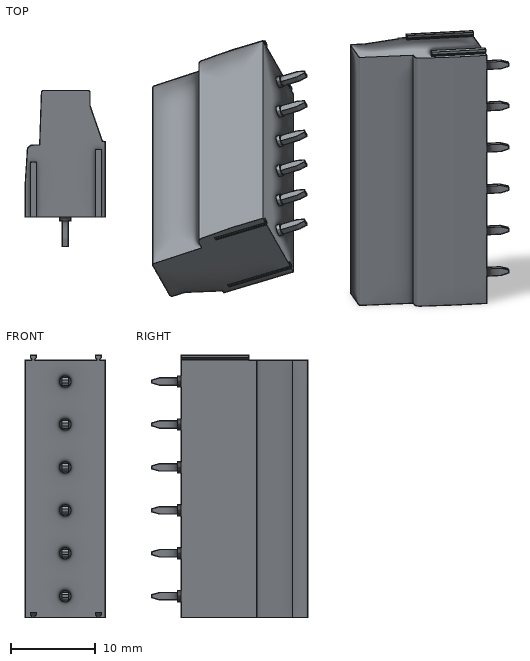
import cadquery as cq

PIN_COUNT = 6
PITCH = 5.08
BODY_WIDTH = 9.5
BODY_DEPTH = 15.0
BODY_HEIGHT = PIN_COUNT * PITCH
HALF_WIDTH = BODY_WIDTH / 2

SIDE_STRAIGHT_DEPTH = 3.9
SHOULDER_INSET = 0.29
SHOULDER_OUTER_DEPTH = 8.5
SHOULDER_INNER_DEPTH = 8.55
SHOULDER_RADIUS = 0.65
NOSE_INSET_BASE = 1.71
NOSE_INSET_TIP = 1.93
NOSE_RIGHT = 7.7
NOSE_STRAIGHT_DEPTH = 13.15
LEDGE_LEFT = 9.15
LEDGE_OUTER_DEPTH = 8.91
LEDGE_INNER_DEPTH = 8.98
NOSE_RADIUS = 0.3

RIB_WIDTH = 0.72
NECK_WIDTH = 0.4
RIB_HEIGHT = 0.57
RIB_NECK_HEIGHT = 0.12
RIB_HEAD_BASE = 0.28
SLOT_HEIGHT = 0.6
SLOT_NECK_HEIGHT = 0.2
SLOT_HEAD_BASE = 0.33
RIBS = ((0.97, 6.5), (8.66, 8.0))

COLLAR_DIAMETER = 1.35
COLLAR_LENGTH = 0.45
PIN_LENGTH = 3.5
PIN_WIDTH = 0.75
PIN_HEIGHT = 0.9
PIN_TIP_HEIGHT = 0.35
PIN_TAPER_LENGTH = 0.95


def make_body():
    """Stepped housing section extruded along Z, centred on the pin row in X."""
    outline = [
        (0, 0),
        (BODY_WIDTH, 0),
        (BODY_WIDTH, LEDGE_OUTER_DEPTH),
        (LEDGE_LEFT, LEDGE_INNER_DEPTH),
        (NOSE_RIGHT, NOSE_STRAIGHT_DEPTH),
        (NOSE_RIGHT, BODY_DEPTH),
        (NOSE_INSET_TIP, BODY_DEPTH),
        (NOSE_INSET_BASE, SHOULDER_INNER_DEPTH),
        (SHOULDER_INSET, SHOULDER_OUTER_DEPTH),
        (0, SIDE_STRAIGHT_DEPTH),
    ]
    body = cq.Workplane("XY").polyline(outline).close().extrude(BODY_HEIGHT)
    shoulder_middle = (SHOULDER_INSET, SHOULDER_OUTER_DEPTH, BODY_HEIGHT / 2)
    shoulder_edge = cq.selectors.NearestToPointSelector(shoulder_middle)
    body = body.edges(shoulder_edge).fillet(SHOULDER_RADIUS)
    body = body.faces(">Y").edges("|Z").fillet(NOSE_RADIUS)
    return body.translate((-HALF_WIDTH, 0, 0))


def make_key(centre_from_side, length, base_z, neck_height, head_base, height):
    """Headed rail rising from base_z and running from the pin face along +Y."""
    half_neck = NECK_WIDTH / 2
    half_head = RIB_WIDTH / 2
    profile = [
        (-half_neck, 0),
        (half_neck, 0),
        (half_neck, neck_height),
        (half_head, head_base),
        (half_head, height),
        (-half_head, height),
        (-half_head, head_base),
        (-half_neck, neck_height),
    ]
    rail = cq.Workplane("XZ").polyline(profile).close().extrude(-length)
    return rail.translate((centre_from_side - HALF_WIDTH, 0, base_z))


def make_pin(z):
    """Round collar with a rectangular pin tapering in Z toward its -Y tip."""
    collar = cq.Workplane("XZ").circle(COLLAR_DIAMETER / 2).extrude(COLLAR_LENGTH)
    taper_start = PIN_LENGTH - PIN_TAPER_LENGTH
    half_height = PIN_HEIGHT / 2
    half_tip = PIN_TIP_HEIGHT / 2
    profile = [
        (0, -half_height),
        (-taper_start, -half_height),
        (-PIN_LENGTH, -half_tip),
        (-PIN_LENGTH, half_tip),
        (-taper_start, half_height),
        (0, half_height),
    ]
    blade = cq.Workplane("YZ").polyline(profile).close().extrude(PIN_WIDTH / 2, both=True)
    return collar.union(blade).translate((0, 0, z))


result = make_body()

for centre, length in RIBS:
    rib = make_key(centre, length, BODY_HEIGHT, RIB_NECK_HEIGHT, RIB_HEAD_BASE, RIB_HEIGHT)
    slot = make_key(centre, length, 0, SLOT_NECK_HEIGHT, SLOT_HEAD_BASE, SLOT_HEIGHT)
    result = result.union(rib).cut(slot)

for index in range(PIN_COUNT):
    result = result.union(make_pin(PITCH / 2 + index * PITCH))